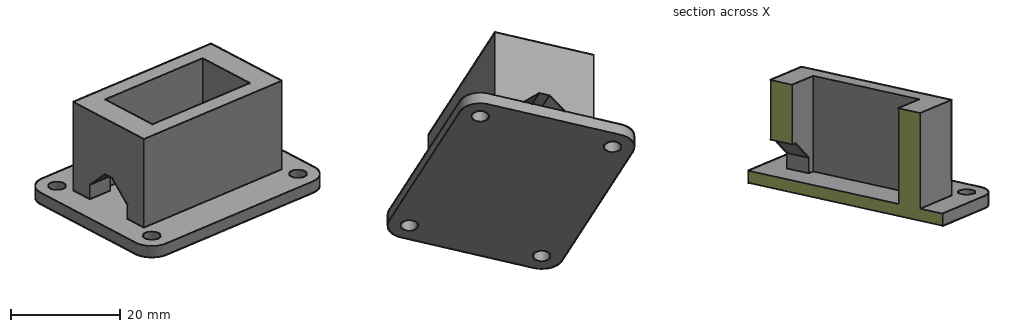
import cadquery as cq

plate_width = 34.0
plate_length = 44.0
plate_thickness = 2.4
corner_radius = 4.0
hole_diameter = 3.2

total_height = 20.8
housing_width = 19.45
housing_length = 33.95
housing_height = total_height - plate_thickness

pocket_width = 13.0
pocket_length = 24.0

opening_width = 10.2
opening_top_width = 2.0
opening_height = 6.8
opening_side_height = 3.0
wall_thickness = (housing_length - pocket_length) / 2


def make_plate():
    """Rounded plate with a hole concentric with each corner."""
    plate = (
        cq.Workplane("XY")
        .rect(plate_width, plate_length)
        .extrude(plate_thickness)
        .edges("|Z")
        .fillet(corner_radius)
    )
    return (
        plate.faces(">Z")
        .workplane()
        .rect(plate_width - 2 * corner_radius, plate_length - 2 * corner_radius, forConstruction=True)
        .vertices()
        .hole(hole_diameter)
    )


def block_on_plate(width, length):
    """Centred block from the plate's upper face to the full height."""
    return (
        cq.Workplane("XY")
        .workplane(offset=plate_thickness)
        .rect(width, length)
        .extrude(housing_height)
    )


def make_opening():
    """Cutter for the opening, one wall deep from the -Y face."""
    half_width = opening_width / 2
    half_top = opening_top_width / 2
    return (
        cq.Workplane("XZ", origin=(0, -housing_length / 2, plate_thickness))
        .moveTo(-half_width, 0)
        .lineTo(half_width, 0)
        .lineTo(half_width, opening_side_height)
        .lineTo(half_top, opening_height)
        .lineTo(-half_top, opening_height)
        .lineTo(-half_width, opening_side_height)
        .close()
        .extrude(-wall_thickness)
    )


housing = block_on_plate(housing_width, housing_length)
pocket = block_on_plate(pocket_width, pocket_length)
result = make_plate().union(housing).cut(pocket).cut(make_opening())